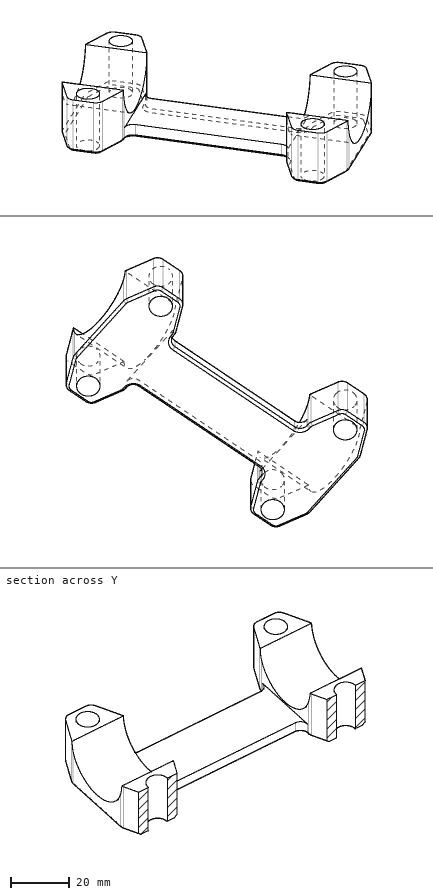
import cadquery as cq

length = 102.0
width = 52.0
height = 20.0

clamp_length = 22.0
lug_end_width = 11.0
bar_diameter = 28.6
bolt_hole_diameter = 8.0

plate_width = 20.0
plate_thickness = 5.0

corner_radius = 3.0
bottom_chamfer = 1.0

bar_radius = bar_diameter / 2
clamp_center_x = (length - clamp_length) / 2
inner_gap = length - 2 * clamp_length
bolt_y = (bar_radius + width / 2) / 2


def clamp_block(center_x):
    """Six-sided block whose lugs taper outward from the edges of the bar groove."""
    half_length = clamp_length / 2
    half_end = lug_end_width / 2
    half_width = width / 2
    outline = [
        (-half_length, -bar_radius),
        (-half_end, -half_width),
        (half_end, -half_width),
        (half_length, -bar_radius),
        (half_length, bar_radius),
        (half_end, half_width),
        (-half_end, half_width),
        (-half_length, bar_radius),
    ]
    return cq.Workplane("XY").center(center_x, 0).polyline(outline).close().extrude(height)


def base_body():
    """Both clamp blocks and the plate at full height, with rounded corners and a chamfered underside."""
    body = cq.Workplane("XY").rect(2 * clamp_center_x, plate_width).extrude(height)
    for side in (-1, 1):
        body = body.union(clamp_block(side * clamp_center_x))
    body = body.edges("|Z").fillet(corner_radius)
    return body.faces("<Z").edges().chamfer(bottom_chamfer)


def plate_clearance():
    """Space above the plate between the inner faces of the clamps."""
    return (
        cq.Workplane("XY")
        .workplane(offset=plate_thickness)
        .rect(inner_gap, width)
        .extrude(height - plate_thickness)
    )


def bar_groove():
    """Cylinder along X, centred on the top face, that forms the half-round seats."""
    return (
        cq.Workplane("YZ")
        .center(0, height)
        .circle(bar_radius)
        .extrude(length / 2, both=True)
    )


def bolt_holes():
    """Four vertical through holes, one in each lug."""
    return (
        cq.Workplane("XY")
        .rect(2 * clamp_center_x, 2 * bolt_y, forConstruction=True)
        .vertices()
        .circle(bolt_hole_diameter / 2)
        .extrude(height)
    )


result = base_body().cut(plate_clearance()).cut(bar_groove()).cut(bolt_holes())